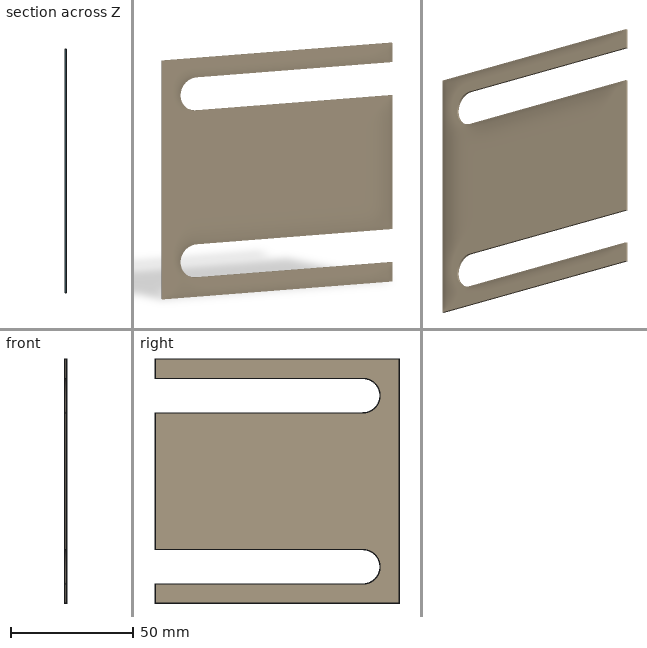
import cadquery as cq

plate_thickness = 1.0
plate_side = 100.0
slot_width = 14.0
slot_spacing = 70.0
slot_end_margin = 8.0

half_side = plate_side / 2
slot_radius = slot_width / 2
slot_tip_y = half_side - slot_end_margin
slot_arc_y = slot_tip_y - slot_radius


def open_slot(center_z):
    """Slot through the thickness, open at the -Y edge and round at its +Y end."""
    bottom_z = center_z - slot_radius
    top_z = center_z + slot_radius
    return (
        cq.Workplane("YZ")
        .moveTo(-half_side, bottom_z)
        .lineTo(slot_arc_y, bottom_z)
        .threePointArc((slot_tip_y, center_z), (slot_arc_y, top_z))
        .lineTo(-half_side, top_z)
        .close()
        .extrude(plate_thickness / 2, both=True)
    )


result = cq.Workplane("XY").box(plate_thickness, plate_side, plate_side)

for side in (-1, 1):
    result = result.cut(open_slot(side * slot_spacing / 2))